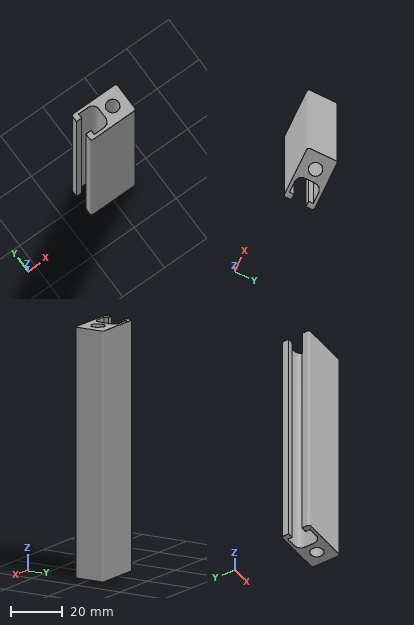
import cadquery as cq

length = 100.0
depth = 21.5
width = 13.0
edge_radius = 1.0

lip_thickness = 2.5
mouth_width = 6.2
channel_width = 10.2
channel_back = 10.0
channel_radius = 3.0

bore_diameter = 5.5
bore_offset = 15.0


def make_body():
    """Solid bar with its open face at X = 0 and its base at Z = 0."""
    bar = cq.Workplane("XY").box(depth, width, length, centered=(False, True, False))
    return bar.edges("|Z").fillet(edge_radius)


def make_channel():
    """Wide channel behind the lips, joined to the narrow mouth."""
    channel_depth = channel_back - lip_thickness
    chamber = (
        cq.Workplane("XY")
        .box(channel_depth, channel_width, length, centered=(False, True, False))
        .translate((lip_thickness, 0, 0))
        .edges("|Z and >X")
        .fillet(channel_radius)
    )
    mouth = cq.Workplane("XY").box(lip_thickness, mouth_width, length, centered=(False, True, False))
    return chamber.union(mouth)


def make_bore():
    """Round hole through the full length."""
    return cq.Workplane("XY").center(bore_offset, 0).circle(bore_diameter / 2).extrude(length)


result = make_body().cut(make_channel()).cut(make_bore())